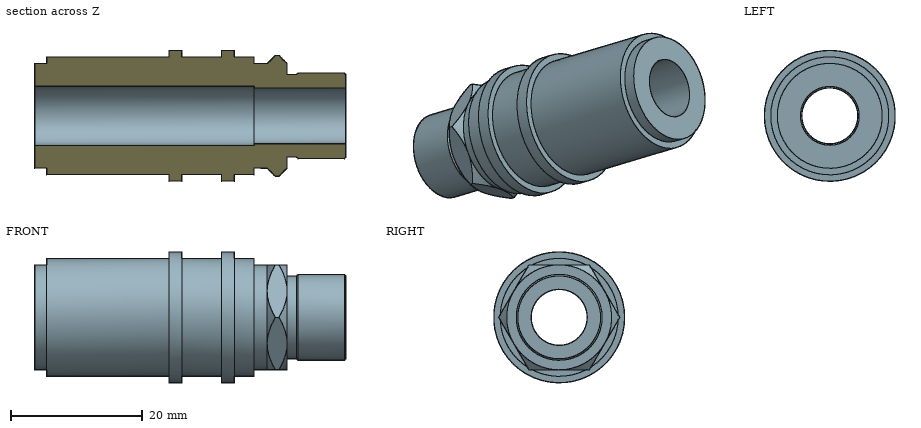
import cadquery as cq
import math

length = 47.5
nose_length = 1.85
body_end = 33.5
hex_start = 35.5
hex_end = 38.5
neck_end = 39.95
spigot_chamfer = 0.25
collar_starts = (20.45, 28.5)
collar_width = 2.0

collar_diameter = 20.0
body_diameter = 18.0
nose_diameter = 16.0
neck_diameter = 12.65
spigot_diameter = neck_diameter + 2 * spigot_chamfer
front_bore_diameter = 9.0
rear_bore_diameter = 8.5

hex_across_flats = nose_diameter
hex_across_corners = hex_across_flats / math.cos(math.pi / 6)


def cylinder(start, end, diameter):
    """Solid cylinder on the X axis between two stations."""
    return cq.Workplane("YZ", origin=(start, 0, 0)).circle(diameter / 2).extrude(end - start)


def chamfered_hexagon():
    """Wrench hexagon, corners along Y, with 45 degree cones meeting its flats at both ends."""
    width = hex_end - hex_start
    hexagon = cq.Workplane("YZ", origin=(hex_start, 0, 0)).polygon(6, hex_across_corners).extrude(width)
    corner_bevel = (hex_across_corners - hex_across_flats) / 2
    bevel_limit = cylinder(hex_start, hex_end, hex_across_corners).edges().chamfer(corner_bevel)
    return hexagon.intersect(bevel_limit)


def chamfered_spigot():
    """Connecting spigot, chamfered down to the neck diameter at both ends."""
    return cylinder(neck_end, length, spigot_diameter).edges().chamfer(spigot_chamfer)


sleeve = cylinder(0, hex_start, nose_diameter)
sleeve = sleeve.union(cylinder(nose_length, body_end, body_diameter))
for collar_start in collar_starts:
    sleeve = sleeve.union(cylinder(collar_start, collar_start + collar_width, collar_diameter))

fitting = chamfered_hexagon()
fitting = fitting.union(cylinder(hex_end, neck_end, neck_diameter))
fitting = fitting.union(chamfered_spigot())

result = sleeve.union(fitting)
result = result.cut(cylinder(0, body_end, front_bore_diameter))
result = result.cut(cylinder(body_end, length, rear_bore_diameter))